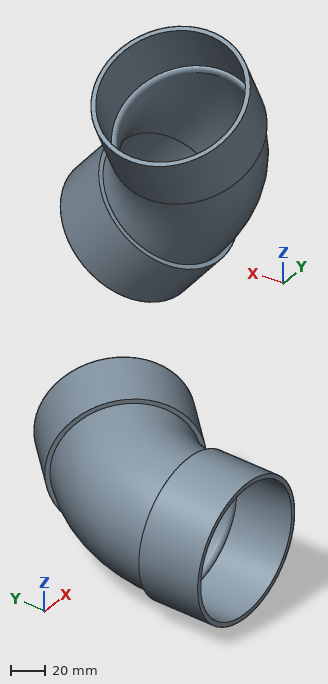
import cadquery as cq
import math

bend_angle = 45
bend_radius = 90.6
socket_length = 42.7
socket_diameter = 96.0
pipe_diameter = 90.0

socket_radius = socket_diameter / 2
pipe_radius = pipe_diameter / 2
wall = socket_radius - pipe_radius
pipe_bore_radius = pipe_radius - wall

angle = math.radians(bend_angle)
bend_end_x = bend_radius * (1 - math.cos(angle))
bend_end_y = socket_length + bend_radius * math.sin(angle)
outlet_x = bend_end_x + socket_length * math.sin(angle)
outlet_y = bend_end_y + socket_length * math.cos(angle)


def socket():
    """Socket along +Y, mouth at the origin, with a rounded pipe stop at its inner end."""
    round_middle = wall * math.sqrt(0.5)
    return (
        cq.Workplane("XY")
        .moveTo(socket_radius, 0)
        .lineTo(socket_radius, socket_length)
        .lineTo(pipe_bore_radius, socket_length)
        .threePointArc(
            (pipe_radius - round_middle, socket_length - round_middle),
            (pipe_radius, socket_length - wall),
        )
        .lineTo(pipe_radius, 0)
        .close()
        .revolve(360, (0, 0, 0), (0, 1, 0))
    )


def bend():
    """Hollow pipe revolved about the bend centre, which lies on the +X side."""
    start_plane = cq.Plane(origin=(0, socket_length, 0), xDir=(1, 0, 0), normal=(0, 1, 0))
    return (
        cq.Workplane(start_plane)
        .circle(pipe_radius)
        .circle(pipe_bore_radius)
        .revolve(bend_angle, (bend_radius, 0, 0), (bend_radius, 1, 0))
    )


inlet = socket()
outlet = (
    socket()
    .rotate((0, 0, 0), (0, 0, 1), 180 - bend_angle)
    .translate((outlet_x, outlet_y, 0))
)
result = inlet.union(bend()).union(outlet)